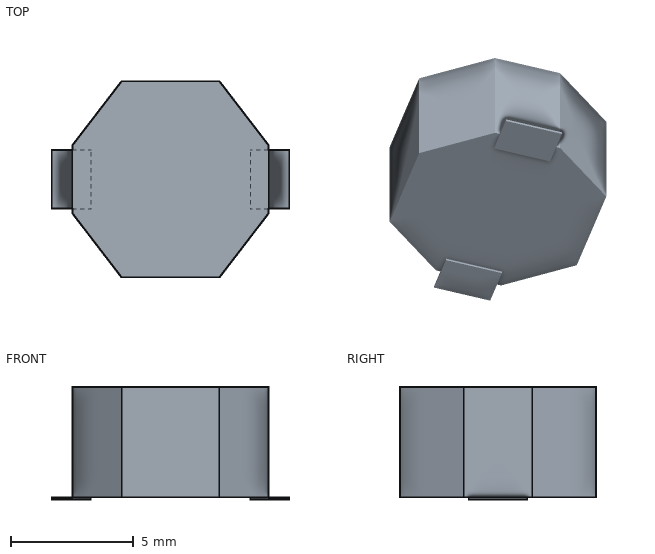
import cadquery as cq

overall_length = 9.7
body_width = 8.0
body_height = 4.5
front_flat_length = 4.0
side_flat_length = 2.78

terminal_length = 1.6
terminal_width = 2.4
terminal_thickness = 0.1


def make_housing():
    """Irregular octagonal prism standing on top of the terminals."""
    half_width = body_width / 2
    inner_x = front_flat_length / 2
    inner_y = side_flat_length / 2
    outline = [
        (inner_x, half_width),
        (half_width, inner_y),
        (half_width, -inner_y),
        (inner_x, -half_width),
        (-inner_x, -half_width),
        (-half_width, -inner_y),
        (-half_width, inner_y),
        (-inner_x, half_width),
    ]
    return cq.Workplane("XY").polyline(outline).close().extrude(body_height)


def make_terminal(side):
    """Flat strip under the housing, reaching out past its -X (side = -1) or +X (side = 1) flat."""
    center_x = side * (overall_length - terminal_length) / 2
    return (
        cq.Workplane("XY")
        .center(center_x, 0)
        .rect(terminal_length, terminal_width)
        .extrude(-terminal_thickness)
    )


housing = make_housing()
terminals = [make_terminal(side) for side in (-1, 1)]

result = cq.Compound.makeCompound([housing.val(), *[terminal.val() for terminal in terminals]])